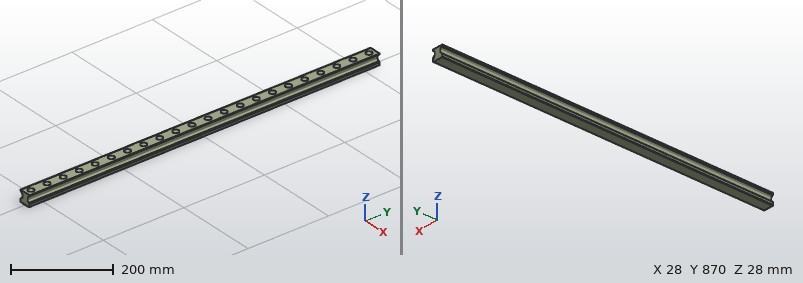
import cadquery as cq

RAIL_WIDTH = 28.0
RAIL_HEIGHT = 28.0
RAIL_LENGTH = 870.0

BASE_CHAMFER = 1.5
BASE_SIDE_TOP = 7.5
HEAD_SIDE_HEIGHT = 2.0
WAIST_WIDTH = 16.0
WAIST_FILLET = 1.0
NOTCH_INSET = 1.5
NOTCH_SIZE = 0.75

RECESS_COUNT = 22
RECESS_PITCH = 40.0
RECESS_DIAMETER = 14.0
RECESS_DEPTH = 0.5


def make_rail():
    """Waisted section with a small relief notch in each flank, extruded along Y."""
    half_width = RAIL_WIDTH / 2
    half_waist = WAIST_WIDTH / 2
    flank = half_width - half_waist
    waist_bottom = BASE_SIDE_TOP + flank
    head_bottom = RAIL_HEIGHT - HEAD_SIDE_HEIGHT
    waist_top = head_bottom - flank

    notch_outer = half_width - NOTCH_INSET
    notch_inner = notch_outer - NOTCH_SIZE
    base_notch = BASE_SIDE_TOP + NOTCH_INSET
    head_notch = head_bottom - NOTCH_INSET

    right_side = [
        (half_width - BASE_CHAMFER, 0),
        (half_width, BASE_CHAMFER),
        (half_width, BASE_SIDE_TOP),
        (notch_outer, base_notch),
        (notch_inner, base_notch),
        (notch_inner, base_notch + NOTCH_SIZE),
        (half_waist, waist_bottom),
        (half_waist, waist_top),
        (notch_inner, head_notch - NOTCH_SIZE),
        (notch_inner, head_notch),
        (notch_outer, head_notch),
        (half_width, head_bottom),
        (half_width, RAIL_HEIGHT),
    ]
    left_side = [(-x, z) for x, z in reversed(right_side)]
    rail = (
        cq.Workplane("XZ")
        .polyline(right_side + left_side)
        .close()
        .extrude(RAIL_LENGTH / 2, both=True)
    )

    margin = NOTCH_SIZE
    waist_region = cq.selectors.BoxSelector(
        (-half_waist - margin, -RAIL_LENGTH, waist_bottom - margin),
        (half_waist + margin, RAIL_LENGTH, waist_top + margin),
    )
    return rail.edges("|Y").edges(waist_region).fillet(WAIST_FILLET)


def make_recesses():
    """Equally spaced discs just below the top face, centred on the rail length."""
    return (
        cq.Workplane("XY", origin=(0, 0, RAIL_HEIGHT))
        .rarray(RECESS_DIAMETER, RECESS_PITCH, 1, RECESS_COUNT)
        .circle(RECESS_DIAMETER / 2)
        .extrude(-RECESS_DEPTH)
    )


result = make_rail().cut(make_recesses())